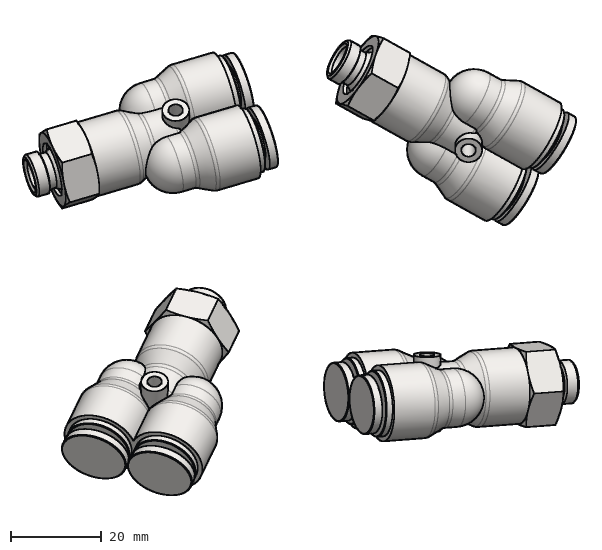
import cadquery as cq
import math


LENGTH = 52.9
HEX_BOTTOM = 5.35
HEX_TOP = 13.3
STEM_TAPER_START = 23.3
STEM_TAPER_END = 27.3
STEM_TOP = 34.4
DOME_CENTER = 30.85
PORT_TAPER_START = 34.3
PORT_TAPER_END = 38.35
PORT_TOP = 48.4
BUSHING_TOP = 49.95
FLANGE_BOTTOM = 50.9

PORT_SPACING = 15.45
PORT_RADIUS = 16.9 / 2
STEM_RADIUS = 17.0 / 2
BRANCH_RADIUS = 13.0 / 2
TAPER_BLEND_RADIUS = 1.95
STEM_END_FILLET = 0.95

EYELET_Y = 34.35
EYELET_DIAMETER = 6.0
EYELET_HOLE_DIAMETER = 3.2
EYELET_HEIGHT = 2 * STEM_RADIUS

HEX_FLATS = 17.0
HEX_CHAMFER_ANGLE = 20.0
THREAD_RADIUS = 9.75 / 2
THREAD_BOTTOM_CHAMFER = 0.5
NECK_RADIUS = 8.2 / 2
THREAD_TOP = 2.95
NECK_BOTTOM = 3.3
FLARE_START = 4.85
FLARE_END_RADIUS = 4.8
RECESS_DEPTH = 0.8
RECESS_RIM_RADIUS = 6.1
RECESS_FLOOR_RADIUS = 5.85
BORE_RADIUS = 6.4 / 2
BORE_CHAMFER = 0.6

BUSHING_DIAMETER = 14.7
RING_NECK_DIAMETER = 9.6
FLANGE_WIDTH = 15.0
FLANGE_HEIGHT = 13.0
EDGE_CHAMFER = 0.15

PORT_CENTERS = (-PORT_SPACING / 2, PORT_SPACING / 2)


def revolve_about_y(profile):
    """Close a profile drawn in the XY plane and spin it about the Y axis."""
    return profile.close().revolve(360, (0, 0, 0), (0, 1, 0))


def blended_taper(profile, start_radius, start_y, end_radius, end_y):
    """Extend a profile with a cone joined to the cylinders before and after it by tangent arcs."""
    slope = math.atan2(abs(end_radius - start_radius), end_y - start_y)
    tangent = TAPER_BLEND_RADIUS * math.tan(slope / 2)
    along = tangent * math.cos(slope)
    outward = math.copysign(tangent * math.sin(slope), end_radius - start_radius)
    return (
        profile.lineTo(start_radius, start_y - tangent)
        .tangentArcPoint((start_radius + outward, start_y + along), relative=False)
        .lineTo(end_radius - outward, end_y - along)
        .tangentArcPoint((end_radius, end_y + tangent), relative=False)
    )


def along_y(x, start_y):
    """Workplane facing +Y, centred on a port axis."""
    return cq.Workplane(cq.Plane(origin=(x, start_y, 0), xDir=(1, 0, 0), normal=(0, 1, 0)))


def make_branch(x):
    """Port barrel that tapers down to a domed end."""
    half_chord = BRANCH_RADIUS * math.sqrt(0.5)
    profile = (
        cq.Workplane("XY")
        .moveTo(0, DOME_CENTER - BRANCH_RADIUS)
        .threePointArc((half_chord, DOME_CENTER - half_chord), (BRANCH_RADIUS, DOME_CENTER))
    )
    profile = blended_taper(profile, BRANCH_RADIUS, PORT_TAPER_START, PORT_RADIUS, PORT_TAPER_END)
    profile = profile.lineTo(PORT_RADIUS, PORT_TOP).lineTo(0, PORT_TOP)
    return revolve_about_y(profile).translate((x, 0, 0))


def make_stem():
    """Central barrel that narrows between the two branches and ends with a rounded edge."""
    profile = cq.Workplane("XY").moveTo(0, HEX_TOP).lineTo(STEM_RADIUS, HEX_TOP)
    profile = blended_taper(profile, STEM_RADIUS, STEM_TAPER_START, BRANCH_RADIUS, STEM_TAPER_END)
    profile = (
        profile.lineTo(BRANCH_RADIUS, STEM_TOP - STEM_END_FILLET)
        .tangentArcPoint((BRANCH_RADIUS - STEM_END_FILLET, STEM_TOP), relative=False)
        .lineTo(0, STEM_TOP)
    )
    return revolve_about_y(profile)


def make_cross_cylinder(diameter, height):
    """Upright cylinder on the eyelet axis, centred on the XY plane."""
    return cq.Workplane("XY").center(0, EYELET_Y).circle(diameter / 2).extrude(height / 2, both=True)


def make_housing():
    """Two branches joined by the eyelet and the stem, with the eyelet hole right through."""
    eyelet = make_cross_cylinder(EYELET_DIAMETER, EYELET_HEIGHT)
    left_branch, right_branch = [make_branch(x) for x in PORT_CENTERS]
    housing = left_branch.union(right_branch).union(eyelet).union(make_stem())
    return housing.cut(make_cross_cylinder(EYELET_HOLE_DIAMETER, EYELET_HEIGHT))


def make_hexagon():
    """Hexagon with flats facing +Z and -Z and its corners turned off at both ends."""
    corner_radius = HEX_FLATS / math.sqrt(3)
    flat_radius = HEX_FLATS / 2
    chamfer_height = (corner_radius - flat_radius) * math.tan(math.radians(HEX_CHAMFER_ANGLE))
    prism = along_y(0, HEX_BOTTOM).polygon(6, 2 * corner_radius).extrude(HEX_TOP - HEX_BOTTOM)
    turned = revolve_about_y(
        cq.Workplane("XY")
        .moveTo(0, HEX_BOTTOM)
        .lineTo(flat_radius, HEX_BOTTOM)
        .lineTo(corner_radius, HEX_BOTTOM + chamfer_height)
        .lineTo(corner_radius, HEX_TOP - chamfer_height)
        .lineTo(flat_radius, HEX_TOP)
        .lineTo(0, HEX_TOP)
    )
    return prism.intersect(turned)


def make_stud():
    """Hexagon with a recessed face, a flared neck and a threaded end, bored right through."""
    recess_floor = HEX_BOTTOM + RECESS_DEPTH
    recess = revolve_about_y(
        cq.Workplane("XY")
        .moveTo(0, HEX_BOTTOM)
        .lineTo(RECESS_RIM_RADIUS, HEX_BOTTOM)
        .lineTo(RECESS_FLOOR_RADIUS, recess_floor)
        .lineTo(0, recess_floor)
    )
    threaded_end = revolve_about_y(
        cq.Workplane("XY")
        .lineTo(THREAD_RADIUS - THREAD_BOTTOM_CHAMFER, 0)
        .lineTo(THREAD_RADIUS, THREAD_BOTTOM_CHAMFER)
        .lineTo(THREAD_RADIUS, THREAD_TOP)
        .lineTo(NECK_RADIUS, NECK_BOTTOM)
        .lineTo(NECK_RADIUS, FLARE_START)
        .lineTo(FLARE_END_RADIUS, recess_floor)
        .lineTo(0, recess_floor)
    )
    bore = revolve_about_y(
        cq.Workplane("XY")
        .lineTo(BORE_RADIUS + BORE_CHAMFER, 0)
        .lineTo(BORE_RADIUS, BORE_CHAMFER)
        .lineTo(BORE_RADIUS, HEX_TOP)
        .lineTo(0, HEX_TOP)
    )
    return make_hexagon().cut(recess).union(threaded_end).cut(bore)


def make_bushing(x):
    """Round collar seated on the end face of a port."""
    collar = along_y(x, PORT_TOP).circle(BUSHING_DIAMETER / 2).extrude(BUSHING_TOP - PORT_TOP)
    return collar.faces(">Y").chamfer(EDGE_CHAMFER)


def make_release_ring(x):
    """Elliptical push flange on a short round neck."""
    flange = (
        along_y(x, FLANGE_BOTTOM)
        .ellipse(FLANGE_WIDTH / 2, FLANGE_HEIGHT / 2)
        .extrude(LENGTH - FLANGE_BOTTOM)
        .faces(">Y")
        .chamfer(EDGE_CHAMFER)
    )
    neck = along_y(x, BUSHING_TOP).circle(RING_NECK_DIAMETER / 2).extrude(FLANGE_BOTTOM - BUSHING_TOP)
    return flange.union(neck)


housing = make_housing()
stud = make_stud()
bushings = [make_bushing(x) for x in PORT_CENTERS]
release_rings = [make_release_ring(x) for x in PORT_CENTERS]

result = cq.Compound.makeCompound(
    [housing.val(), stud.val()]
    + [bushing.val() for bushing in bushings]
    + [ring.val() for ring in release_rings]
)